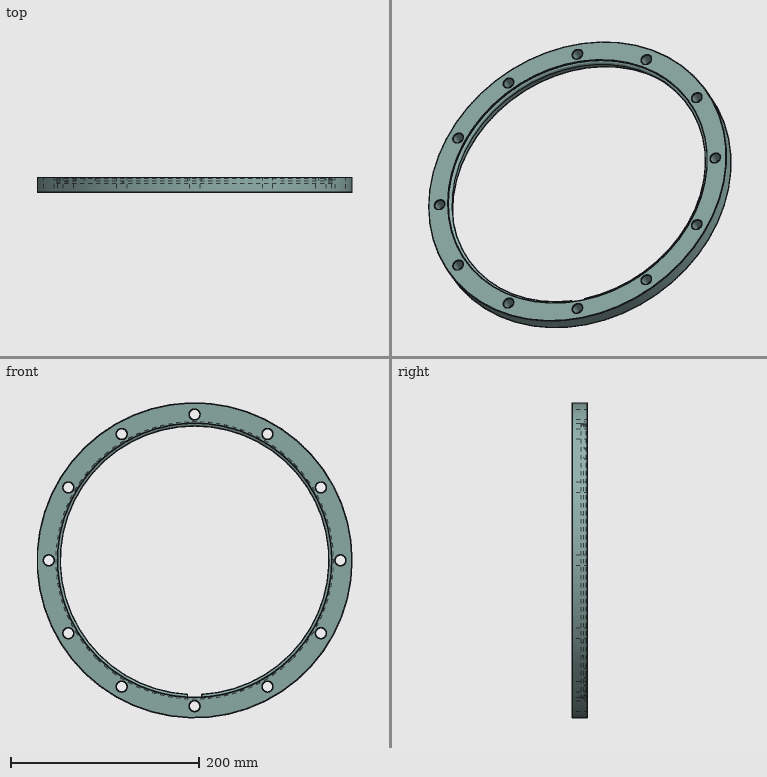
import cadquery as cq

outer_diameter = 335.0
bore_diameter = 291.0
thickness = 16.0
edge_chamfer = 0.5

bolt_count = 12
bolt_circle_diameter = 310.0
bolt_hole_diameter = 11.0

wire_diameter = 5.0
wire_circle_diameter = 290.0
wire_offset = 4.0
wire_gap = 15.0

wire_circle_radius = wire_circle_diameter / 2


def wire_torus():
    """Closed round-wire ring that fills the bore groove."""
    return cq.Workplane(
        cq.Solid.makeTorus(
            wire_circle_radius,
            wire_diameter / 2,
            cq.Vector(0, wire_offset, 0),
            cq.Vector(0, 1, 0),
        )
    )


def make_flange():
    """Flat ring with a bolt circle and a round-bottomed groove in its bore."""
    ring = (
        cq.Workplane("XZ")
        .circle(outer_diameter / 2)
        .circle(bore_diameter / 2)
        .extrude(thickness)
        .translate((0, thickness / 2, 0))
    )
    bolt_holes = (
        cq.Workplane("XZ")
        .polarArray(bolt_circle_diameter / 2, 0, 360, bolt_count)
        .circle(bolt_hole_diameter / 2)
        .extrude(thickness, both=True)
    )
    drilled_ring = ring.cut(bolt_holes).faces("<Y or >Y").edges().chamfer(edge_chamfer)
    return drilled_ring.cut(wire_torus())


def make_snap_ring():
    """Round wire bent into a ring that is open at the bottom."""
    opening_size = 2 * wire_diameter
    opening = cq.Workplane("XY").box(wire_gap, opening_size, opening_size)
    opening = opening.translate((0, wire_offset, -wire_circle_radius))
    return wire_torus().cut(opening)


flange = make_flange()
snap_ring = make_snap_ring()

result = cq.Compound.makeCompound([flange.val(), snap_ring.val()])